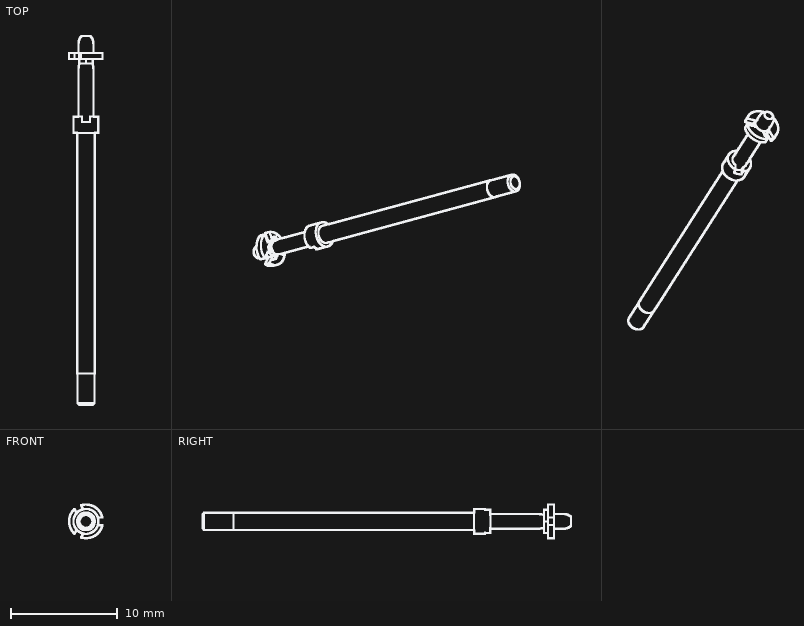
import cadquery as cq
import math

LENGTH = 34.6

BARREL_RADIUS = 0.83
TAIL_RADIUS = 1.63 / 2
TAIL_LENGTH = 2.95
TAIL_CHAMFER_AXIAL = 0.17
TAIL_CHAMFER_RADIAL = 0.2

COLLAR_RADIUS = 1.18
COLLAR_BACK = LENGTH - 9.1
COLLAR_FRONT = LENGTH - 7.58
COLLAR_SLOT_WIDTH = 0.75
COLLAR_SLOT_LENGTH = 0.5

PLUNGER_RADIUS = 1.42 / 2
NOSE_LENGTH = 0.7
NOSE_FLAT_RADIUS = 0.4
NECK_RADIUS = 1.28 / 2
TAPER_BACK = LENGTH - 3.05
KEY_BACK = LENGTH - 2.55

FLANGE_RADIUS = 1.6
FLANGE_BACK = LENGTH - 2.18
FLANGE_FRONT = LENGTH - 1.6
FLANGE_SLOT_WIDTH = 0.7
FLANGE_SLOT_COUNT = 3

KEY_HALF_HEIGHT = 1.1
KEY_TIP_ANGLE = 60
KEY_HALF_WIDTH = KEY_HALF_HEIGHT * math.tan(math.radians(KEY_TIP_ANGLE / 2))


def cylinder(radius, back, front):
    """Round bar on the Y axis between two Y positions."""
    return cq.Workplane("XZ", origin=(0, front, 0)).circle(radius).extrude(front - back)


def make_barrel():
    """Straight barrel with a slim, chamfered tail."""
    return (
        cq.Workplane("XY")
        .moveTo(0, 0)
        .lineTo(TAIL_RADIUS - TAIL_CHAMFER_RADIAL, 0)
        .lineTo(TAIL_RADIUS, TAIL_CHAMFER_AXIAL)
        .lineTo(TAIL_RADIUS, TAIL_LENGTH)
        .lineTo(BARREL_RADIUS, TAIL_LENGTH)
        .lineTo(BARREL_RADIUS, COLLAR_BACK)
        .lineTo(0, COLLAR_BACK)
        .close()
        .revolve(360, (0, 0, 0), (0, 1, 0))
    )


def make_collar():
    """Collar with two notches in its front rim, at +Z and -Z, down to the plunger."""
    slot = cq.Workplane("XY").box(
        COLLAR_SLOT_WIDTH, COLLAR_SLOT_LENGTH, 2 * COLLAR_RADIUS
    ).translate((0, COLLAR_FRONT - COLLAR_SLOT_LENGTH / 2, 0))
    return cylinder(COLLAR_RADIUS, COLLAR_BACK, COLLAR_FRONT).cut(slot)


def make_plunger_body():
    """Plunger from the collar to the taper that ends at the key."""
    return (
        cq.Workplane("XY")
        .moveTo(0, COLLAR_BACK)
        .lineTo(PLUNGER_RADIUS, COLLAR_BACK)
        .lineTo(PLUNGER_RADIUS, TAPER_BACK)
        .lineTo(NECK_RADIUS, KEY_BACK)
        .lineTo(0, KEY_BACK)
        .close()
        .revolve(360, (0, 0, 0), (0, 1, 0))
    )


def make_tip():
    """Front of the plunger with a rounded, flat-ended nose."""
    nose_start = LENGTH - NOSE_LENGTH
    nose_drop = PLUNGER_RADIUS - NOSE_FLAT_RADIUS
    nose_radius = (NOSE_LENGTH**2 + nose_drop**2) / (2 * nose_drop)
    return (
        cq.Workplane("XY")
        .moveTo(0, FLANGE_BACK)
        .lineTo(PLUNGER_RADIUS, FLANGE_BACK)
        .lineTo(PLUNGER_RADIUS, nose_start)
        .radiusArc((NOSE_FLAT_RADIUS, LENGTH), -nose_radius)
        .lineTo(0, LENGTH)
        .close()
        .revolve(360, (0, 0, 0), (0, 1, 0))
    )


def make_flange():
    """Disc with equally spaced radial slots, the first at +X, as deep as the plunger."""
    flange = cylinder(FLANGE_RADIUS, FLANGE_BACK, FLANGE_FRONT)
    thickness = FLANGE_FRONT - FLANGE_BACK
    slot = cq.Workplane("XY").box(
        FLANGE_RADIUS, thickness, FLANGE_SLOT_WIDTH, centered=(False, True, True)
    ).translate((PLUNGER_RADIUS, (FLANGE_BACK + FLANGE_FRONT) / 2, 0))
    for index in range(FLANGE_SLOT_COUNT):
        angle = index * 360 / FLANGE_SLOT_COUNT
        flange = flange.cut(slot.rotate((0, 0, 0), (0, 1, 0), angle))
    return flange


def make_key():
    """Diamond plate with sharp tips at +Z and -Z, standing on the back of the flange."""
    return (
        cq.Workplane("XZ", origin=(0, FLANGE_BACK, 0))
        .moveTo(0, KEY_HALF_HEIGHT)
        .lineTo(KEY_HALF_WIDTH, 0)
        .lineTo(0, -KEY_HALF_HEIGHT)
        .lineTo(-KEY_HALF_WIDTH, 0)
        .close()
        .extrude(FLANGE_BACK - KEY_BACK)
    )


result = (
    make_barrel()
    .union(make_collar())
    .union(make_plunger_body())
    .union(make_key())
    .union(make_flange())
    .union(make_tip())
)